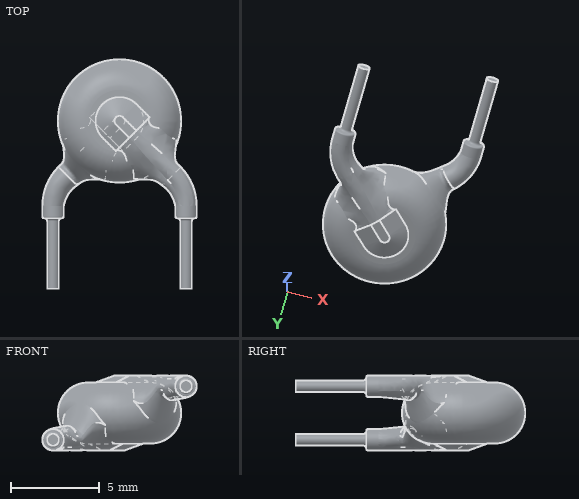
import cadquery as cq
import math

body_radius = 3.48
body_thickness = 3.46
edge_radius = body_thickness / 2
flat_radius = body_radius - edge_radius

lead_pitch = 7.5
lead_offset = lead_pitch / 2
lead_tip_y = -9.47
lead_radius = 0.34

sleeve_radius = 0.61
overall_height = 4.23
sleeve_top = overall_height / 2
sleeve_height = sleeve_top - sleeve_radius
sleeve_end_y = -5.49
sleeve_end_fillet = 0.1
lead_fillet = 0.15
bend_radius = 2.5
bend_angle = 45

diagonal = math.sqrt(0.5)
joint_offset = lead_offset - bend_radius * (1 - diagonal)
joint_distance = joint_offset / diagonal
bend_end_y = -joint_offset - bend_radius * diagonal

mound_radius = 1.35
ridge_half_width = 0.28
mound_length = 1.06
mound_root_depth = 0.78

flare_sections = [
    (mound_length, (ridge_half_width, 2.1), (0.82, 1.9), (1.6, 1.6), 0.91, 0.0),
    (1.88, (0.32, 2.07), (0.88, 1.84), (1.68, 1.45), 0.0, 0.0),
    (2.59, (0.38, 2.03), (0.96, 1.59), (1.81, 0.91), -0.65, 0.04),
    (3.17, (0.4, 1.98), (0.85, 1.48), (1.35, 0.55), -0.8, 0.15),
    (3.63, (0.41, 1.95), (0.69, 1.5), (0.79, 0.9), 0.08, 0.28),
]

sleeve_corner_angles = (45, 10, -25)

joint_bulge = 0.26
underside_sag_ratio = 0.7
bend_angle_steps = 4


def make_body():
    return (
        cq.Workplane("XZ")
        .moveTo(0, -edge_radius)
        .lineTo(flat_radius, -edge_radius)
        .threePointArc((body_radius, 0), (flat_radius, edge_radius))
        .lineTo(0, edge_radius)
        .close()
        .revolve(360, (0, 0, 0), (0, 1, 0))
    )


def diagonal_plane(distance):
    """Plane square to the diagonal, with local x across it and local y up."""
    step = distance * diagonal
    return cq.Plane(origin=(step, -step, 0), xDir=(1, 1, 0), normal=(1, -1, 0))


def flare_wire(plane, shoulder, side, foot, underside, bulge):
    """Section with a rounded ridge and underside, widened on its inner (negative x) side."""
    return (
        cq.Workplane(plane)
        .moveTo(-shoulder[0], shoulder[1])
        .threePointArc((0, sleeve_top), shoulder)
        .threePointArc(side, foot)
        .threePointArc((-bulge / 2, underside), (-foot[0] - bulge, foot[1]))
        .threePointArc((-side[0] - bulge, side[1]), (-shoulder[0], shoulder[1]))
        .close()
        .val()
    )


def sleeve_point(angle):
    """Half width and height of a point on the sleeve circle."""
    radians = math.radians(angle)
    return (sleeve_radius * math.cos(radians), sleeve_height + sleeve_radius * math.sin(radians))


def make_mound():
    cone = cq.Workplane(
        cq.Solid.makeCone(
            mound_radius, ridge_half_width, sleeve_top - edge_radius, cq.Vector(0, 0, edge_radius)
        )
    )
    ridge = (
        cq.Workplane(diagonal_plane(0))
        .moveTo(-mound_radius, edge_radius - mound_root_depth)
        .lineTo(-mound_radius, edge_radius)
        .lineTo(-ridge_half_width, sleeve_top)
        .lineTo(ridge_half_width, sleeve_top)
        .lineTo(mound_radius, edge_radius)
        .lineTo(mound_radius, edge_radius - mound_root_depth)
        .close()
        .extrude(mound_length)
    )
    return cone.union(ridge)


def sleeve_wire(plane, bulge):
    """Sleeve circle, widened on its inner side by the bulge and sagging in proportion to it."""
    underside = sleeve_height - sleeve_radius - underside_sag_ratio * bulge
    corners = [sleeve_point(angle) for angle in sleeve_corner_angles]
    return flare_wire(plane, *corners, underside, bulge)


def make_flare():
    wires = [flare_wire(diagonal_plane(section[0]), *section[1:]) for section in flare_sections]
    wires.append(sleeve_wire(diagonal_plane(joint_distance), joint_bulge))
    return cq.Workplane(cq.Solid.makeLoft(wires))


def make_bend():
    wires = []
    for step in range(bend_angle_steps + 1):
        fraction = step / bend_angle_steps
        angle = math.radians(bend_angle * (1 - fraction))
        outward = cq.Vector(math.cos(angle), math.sin(angle), 0)
        forward = cq.Vector(math.sin(angle), -math.cos(angle), 0)
        center = cq.Vector(lead_offset - bend_radius, bend_end_y, 0)
        plane = cq.Plane(origin=center + outward * bend_radius, xDir=outward, normal=forward)
        wires.append(sleeve_wire(plane, joint_bulge * (1 - fraction)))
    return cq.Workplane(cq.Solid.makeLoft(wires))


def make_straight_lead():
    """Sleeve end and bare lead, revolved about the lead axis from half an outline."""
    shoulder_radius = sleeve_radius - sleeve_end_fillet
    shoulder_y = sleeve_end_y + sleeve_end_fillet
    neck_radius = lead_radius + lead_fillet
    neck_y = sleeve_end_y - lead_fillet
    half_outline = (
        cq.Workplane("XY", origin=(lead_offset, 0, sleeve_height))
        .moveTo(0, bend_end_y)
        .lineTo(sleeve_radius, bend_end_y)
        .lineTo(sleeve_radius, shoulder_y)
        .threePointArc(
            (
                shoulder_radius + sleeve_end_fillet * diagonal,
                shoulder_y - sleeve_end_fillet * diagonal,
            ),
            (shoulder_radius, sleeve_end_y),
        )
        .lineTo(neck_radius, sleeve_end_y)
        .threePointArc(
            (neck_radius - lead_fillet * diagonal, neck_y + lead_fillet * diagonal),
            (lead_radius, neck_y),
        )
        .lineTo(lead_radius, lead_tip_y)
        .lineTo(0, lead_tip_y)
        .close()
    )
    return half_outline.revolve(360, (0, 0, 0), (0, 1, 0))


upper_lead = make_mound().union(make_flare()).union(make_bend()).union(make_straight_lead())
lower_lead = upper_lead.rotate((0, 0, 0), (0, 1, 0), 180)
result = make_body().union(upper_lead).union(lower_lead)